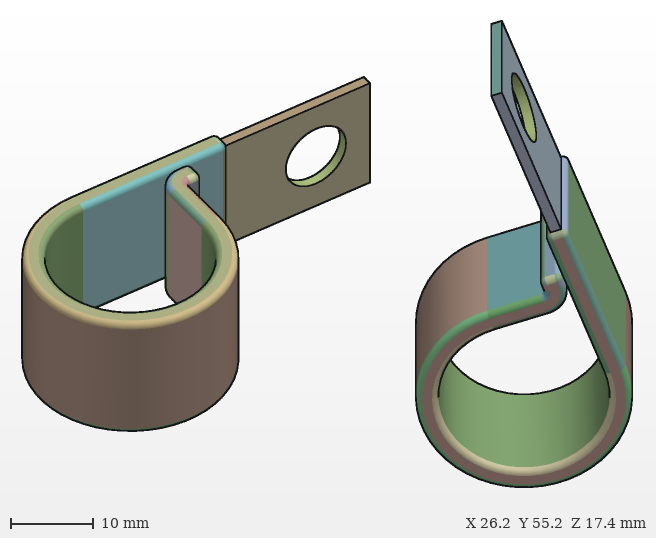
import cadquery as cq
import math

loop_radius = 13.095
cushion_thickness = 2.75
cushion_width = 17.4
cushion_end_y = 21.05
edge_radius = 0.75

hook_inner_radius = 0.5
hook_gap = 0.1
hook_end_y = 15.25

overall_length = 55.15
tab_thickness = 1.4
tab_width = 15.9
tab_embed = 2.75
hole_diameter = 8.7
hole_end_distance = 7.85

loop_inner_radius = loop_radius - cushion_thickness
leg_center_x = -loop_radius + cushion_thickness / 2
tab_end_y = overall_length - loop_radius

hook_left_x = -loop_inner_radius + hook_gap
hook_right_x = hook_left_x + cushion_thickness
hook_outer_radius = hook_inner_radius + cushion_thickness
bend_x = hook_right_x + hook_inner_radius
bend_y = loop_radius + hook_inner_radius


def bend_point(radius):
    """Midpoint of a hook arc, on the lower-left diagonal from the bend center."""
    offset = radius * math.sqrt(0.5)
    return (bend_x - offset, bend_y - offset)


def loop_point(radius):
    """Midpoint of the three-quarter loop arc, on the lower-right diagonal."""
    offset = radius * math.sqrt(0.5)
    return (offset, -offset)


def make_cushion():
    profile = (
        cq.Workplane("XY", origin=(0, 0, -cushion_width / 2))
        .moveTo(-loop_radius, cushion_end_y)
        .lineTo(-loop_radius, 0)
        .threePointArc(loop_point(loop_radius), (0, loop_radius))
        .lineTo(bend_x, loop_radius)
        .threePointArc(bend_point(hook_inner_radius), (hook_right_x, bend_y))
        .lineTo(hook_right_x, hook_end_y)
        .lineTo(hook_left_x, hook_end_y)
        .lineTo(hook_left_x, bend_y)
        .threePointArc(bend_point(hook_outer_radius), (bend_x, loop_inner_radius))
        .lineTo(0, loop_inner_radius)
        .threePointArc(loop_point(loop_inner_radius), (-loop_inner_radius, 0))
        .lineTo(-loop_inner_radius, cushion_end_y)
        .close()
    )
    band = profile.extrude(cushion_width)
    selection_margin = 0.55
    end_corners = cq.selectors.BoxSelector(
        (-loop_radius - selection_margin, hook_end_y - selection_margin, -cushion_width),
        (hook_right_x + selection_margin, cushion_end_y + selection_margin, cushion_width),
    )
    corners = band.edges("|Z").edges(end_corners)
    return band.faces("|Z").edges().add(corners).fillet(edge_radius)


def make_tab():
    tab_start_y = cushion_end_y - tab_embed
    tab_length = tab_end_y - tab_start_y
    tab = cq.Workplane("XY").box(tab_thickness, tab_length, tab_width)
    tab = tab.translate((leg_center_x, tab_start_y + tab_length / 2, 0))
    hole = (
        cq.Workplane("YZ", origin=(leg_center_x, 0, 0))
        .center(tab_end_y - hole_end_distance, 0)
        .circle(hole_diameter / 2)
        .extrude(tab_thickness, both=True)
    )
    return tab.cut(hole)


result = make_cushion().union(make_tab())